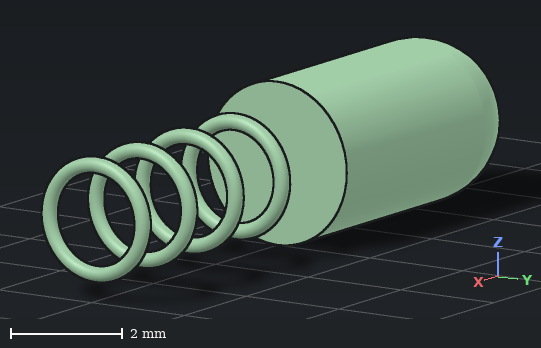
import cadquery as cq

plunger_diameter = 3.0
plunger_length = 6.0
nose_radius = plunger_diameter / 2

coil_count = 4
coil_pitch = 1.5
wire_diameter = 0.3
coil_outer_diameter = 2.3
overall_length = 12.0

wire_radius = wire_diameter / 2
coil_mean_radius = (coil_outer_diameter - wire_diameter) / 2
last_coil_x = overall_length - wire_radius
first_coil_x = last_coil_x - (coil_count - 1) * coil_pitch

x_axis = cq.Vector(1, 0, 0)


def make_plunger():
    """Solid cylinder with a hemispherical nose, tip at the origin."""
    nose_arc_offset = nose_radius / 2**0.5
    nose_arc_middle = (nose_radius - nose_arc_offset, nose_arc_offset)
    half_profile = (
        cq.Workplane("XY")
        .moveTo(0, 0)
        .threePointArc(nose_arc_middle, (nose_radius, nose_radius))
        .lineTo(plunger_length, nose_radius)
        .lineTo(plunger_length, 0)
        .close()
    )
    return half_profile.revolve(360, (0, 0, 0), (1, 0, 0)).val()


def make_coil(center_x):
    """One round-wire ring around the X axis."""
    return cq.Solid.makeTorus(coil_mean_radius, wire_radius, cq.Vector(center_x, 0, 0), x_axis)


plunger = make_plunger()
coils = [make_coil(first_coil_x + i * coil_pitch) for i in range(coil_count)]

result = cq.Compound.makeCompound([plunger, *coils])